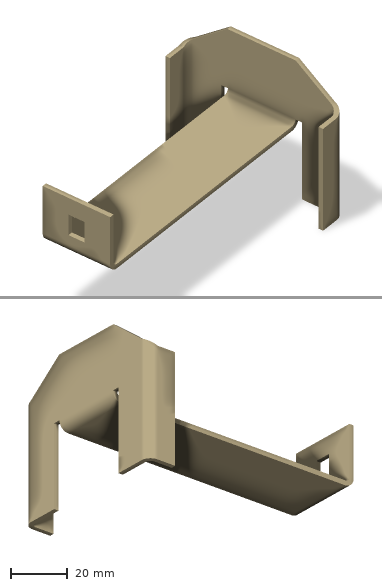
import cadquery as cq

thickness = 2.0
inner_radius = 2.0
outer_radius = inner_radius + thickness

width = 70.0
height = 60.0
top_edge_width = 30.3
shoulder_height = 48.0
opening_width = 36.0
opening_height = 33.9

flange_depth = 12.0
flange_height = 44.9

arm_width = 30.0
arm_length = 109.0
lip_height = 54.8
hole_width = 7.1
hole_height = 9.0
hole_center_z = 43.0

bend_x = width / 2 - outer_radius
arm_bottom = opening_height - outer_radius


def quarter_ring(plane):
    """Quarter-ring outline in the first quadrant of a plane, around the origin."""
    diagonal = 0.5 ** 0.5
    return (
        cq.Workplane(plane)
        .moveTo(inner_radius, 0)
        .lineTo(outer_radius, 0)
        .threePointArc(
            (outer_radius * diagonal, outer_radius * diagonal),
            (0, outer_radius),
        )
        .lineTo(0, inner_radius)
        .threePointArc(
            (inner_radius * diagonal, inner_radius * diagonal),
            (inner_radius, 0),
        )
        .close()
    )


def make_plate():
    half_opening = opening_width / 2
    right_side = [
        (half_opening, opening_height),
        (half_opening, 0),
        (bend_x, 0),
        (bend_x, shoulder_height),
        (top_edge_width / 2, height),
    ]
    left_side = [(-x, z) for x, z in reversed(right_side)]
    return (
        cq.Workplane("XZ")
        .polyline(right_side + left_side)
        .close()
        .extrude(thickness)
    )


def make_right_flange():
    """Bend and flange; the top of the bend slopes down evenly as it turns."""
    slope_height = shoulder_height - flange_height
    reach = 2 * outer_radius
    turning_block = (
        cq.Workplane("XY")
        .polyline([(-reach, 0), (reach, 0), (reach, reach), (-reach, reach)])
        .close()
        .twistExtrude(slope_height, 90)
    )
    sloped_top = quarter_ring("XY").extrude(slope_height).intersect(turning_block)
    bend = quarter_ring("XY").extrude(flange_height)
    bend = bend.union(sloped_top.translate((0, 0, flange_height)))
    bend = bend.translate((bend_x, -outer_radius, 0))
    flat = cq.Workplane("XY").box(
        thickness, flange_depth - outer_radius, flange_height, centered=False
    ).translate((width / 2 - thickness, -flange_depth, 0))
    return bend.union(flat)


def make_arm():
    """Strip joined to the plate by one bend and turned up by another at its far end."""
    flat_length = arm_length - 2 * outer_radius
    strip = cq.Workplane("XY").box(
        arm_width, flat_length, thickness, centered=(True, False, False)
    ).translate((0, outer_radius - arm_length, arm_bottom))

    plate_bend = (
        quarter_ring("YZ")
        .extrude(arm_width / 2, both=True)
        .rotate((0, 0, 0), (1, 0, 0), -90)
        .translate((0, -outer_radius, opening_height))
    )
    lip_bend = plate_bend.mirror("XZ", (0, -arm_length / 2, 0))

    lip = cq.Workplane("XY").box(
        arm_width, thickness, lip_height - opening_height, centered=(True, False, False)
    ).translate((0, -arm_length, opening_height))
    hole = cq.Workplane("XY").box(hole_width, 2 * thickness, hole_height).translate(
        (0, thickness / 2 - arm_length, hole_center_z)
    )
    return strip.union(plate_bend).union(lip_bend).union(lip.cut(hole))


right_flange = make_right_flange()
left_flange = right_flange.mirror("YZ")
result = make_plate().union(right_flange).union(left_flange).union(make_arm())